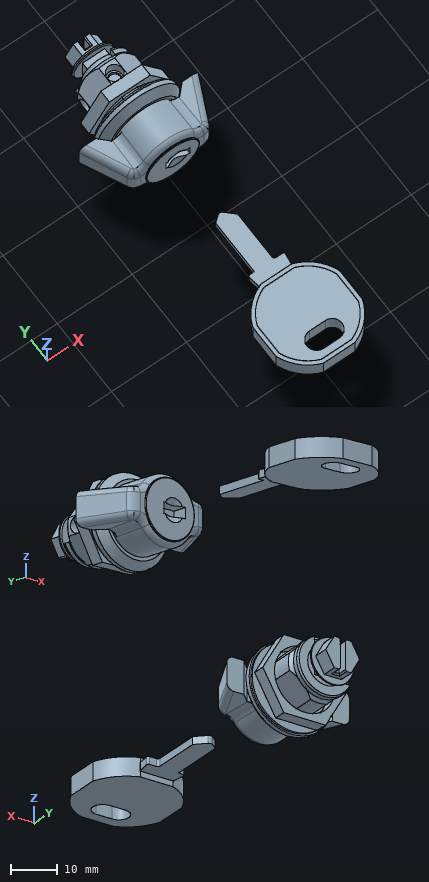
import cadquery as cq
import math


flange_radius = 11.0
flange_front_y = -1.8
rim_radius = 10.6
rim_thickness = 0.6
cone_front_radius = 9.1
cone_front_y = -3.7
shank_radius = 7.9
shank_across_flats = 13.7
shank_rear_y = 11.05
shank_chamfer = 1.0
detent_radius = 2.0
detent_y = 7.1
stop_radius = 7.2
stop_rear_y = 12.8
stop_bevel_length = 0.6
stop_bevel_depth = 0.3

nut_across_flats = 18.9
nut_front_y = 1.5
nut_thickness = 3.2

rotor_radius = 4.7
square_size = 5.9
square_rear_y = 14.9
socket_radius = 1.6
socket_depth = 0.9
barrel_radius = 8.3
plug_front_y = -14.5
body_front_y = -14.2
edge_rounding = 1.7
plug_radius = 7.15
plug_bevel = 0.2
wing_rear_thickness = 8.3
wing_front_thickness = 7.5
wing_rear_half_span = 16.02
wing_front_half_span = 10.2
wing_corner_radius = 2.8
wing_root_radius = 3.2
flange_gap = 0.6
keyway_center_x = 1.3
keyway_length = 6.3
keyway_height = 2.6
keyway_depth = 3.7
keyway_dish_x = 1.0
keyway_dish_radius = 2.8
keyway_dish_depth = 0.8

head_across_flats = 7.7
head_rear_y = 19.4
washer_radius = 5.6
washer_thickness = 0.65
washer_bevel = 0.3
slot_mouth_bevel = 0.4
slot_width = 1.3
slot_depth = 2.4
thread_radius = 2.4
thread_length = 5.6

key_center_x = 1.7
bow_size = 23.2
bow_radius = 12.35
bow_thickness = 4.7
bow_center_y = -61.8
bow_border = 1.0
bow_panel_depth = 0.1
bow_hole_length = 9.3
bow_hole_width = 5.1
bow_hole_drop = 6.1
blade_thickness = 1.95
blade_left_x = -1.5
blade_right_x = 3.7
blade_tip_x = 0.7
blade_tip_y = -30.4
blade_left_end_y = -32.1
blade_right_end_y = -33.2
blade_tip_radius = 0.9
blade_root_radius = 0.6
collar_top_y = -46.4
collar_top_half_width = 4.9
collar_base_half_width = 4.4
collar_corner_radius = 0.5


def section(y):
    """Workplane across the lock axis at the given Y: local x is X, local y is Z."""
    return cq.Workplane("XZ", origin=(0, y, 0))


def disc(radius, front_y, rear_y):
    return section(front_y).circle(radius).extrude(front_y - rear_y)


def hexagon(across_flats, front_y, rear_y):
    """Hexagonal prism with two corners on the X axis."""
    across_corners = across_flats / math.cos(math.pi / 6)
    return section(front_y).polygon(6, across_corners).extrude(front_y - rear_y)


def revolved(half_profile):
    """Solid turned about the lock axis from (radius, y) points."""
    return cq.Workplane("XY").polyline(half_profile).close().revolve(360, (0, 0, 0), (0, 1, 0))


def make_stop():
    """Ring at the housing's rear end, open over the quarter towards -X and +Z."""
    bevel_y = stop_rear_y - stop_bevel_length
    ring = revolved([
        (0, shank_rear_y),
        (stop_radius, shank_rear_y),
        (stop_radius, bevel_y),
        (stop_radius - stop_bevel_depth, stop_rear_y),
        (0, stop_rear_y),
    ])
    opening = section(shank_rear_y).center(
        square_size / 2 - stop_radius, stop_radius - square_size / 2
    ).rect(2 * stop_radius, 2 * stop_radius).extrude(shank_rear_y - stop_rear_y)
    return ring.cut(opening)


def make_shank():
    """Round shank with four diagonal flats and a chamfered rear end."""
    shank = disc(shank_radius, 0, shank_rear_y).faces(">Y").chamfer(shank_chamfer)
    flats = section(0).transformed(rotate=(0, 0, 45)).rect(
        shank_across_flats, shank_across_flats
    ).extrude(-shank_rear_y)
    return shank.intersect(flats)


def make_housing():
    flange = revolved([
        (0, 0),
        (rim_radius, 0),
        (rim_radius, -rim_thickness),
        (flange_radius, -rim_thickness),
        (flange_radius, flange_front_y),
        (cone_front_radius, cone_front_y),
        (0, cone_front_y),
    ])
    body = flange.union(make_shank()).union(make_stop())
    body = body.cut(disc(rotor_radius, cone_front_y, stop_rear_y))
    top_hole = cq.Workplane("XY").center(0, detent_y).circle(detent_radius).extrude(shank_radius)
    side_hole = cq.Workplane("YZ").center(detent_y, 0).circle(detent_radius).extrude(-shank_radius)
    return body.cut(top_hole).cut(side_hole)


def make_nut():
    nut_rear_y = nut_front_y + nut_thickness
    return hexagon(nut_across_flats, nut_front_y, nut_rear_y).cut(
        disc(shank_radius, nut_front_y, nut_rear_y)
    )


def tapered_bar(plane, rear_half_width, front_half_width, half_length):
    """Bar whose width narrows from the rear of the wings to their front."""
    return cq.Workplane(plane).polyline([
        (-rear_half_width, flange_front_y),
        (-front_half_width, body_front_y),
        (front_half_width, body_front_y),
        (rear_half_width, flange_front_y),
    ]).close().extrude(half_length, both=True)


def make_wings():
    """Both wings as one bar across the knob, tapering in span and thickness towards the front."""
    span_bar = tapered_bar("XY", wing_rear_half_span, wing_front_half_span, wing_rear_thickness)
    side_plane = cq.Plane(origin=(0, 0, 0), xDir=(0, 0, 1), normal=(-1, 0, 0))
    side_bar = tapered_bar(
        side_plane, wing_rear_thickness / 2, wing_front_thickness / 2, wing_rear_half_span
    )
    return span_bar.intersect(side_bar)


def make_grip():
    """Barrel and wings with filleted roots and rounded outer edges, cleared behind for the flange."""
    grip = disc(barrel_radius, body_front_y, flange_front_y).union(make_wings())
    wing_roots = cq.selectors.BoxSelector(
        (-barrel_radius, body_front_y + edge_rounding, -wing_rear_thickness),
        (barrel_radius, flange_front_y - edge_rounding, wing_rear_thickness),
    )
    grip = grip.edges(wing_roots).fillet(wing_root_radius)
    grip = grip.edges("|Z and <Y").fillet(wing_corner_radius)
    grip = grip.faces("<Y").edges().fillet(edge_rounding)
    cleared = cq.Workplane("XY").polyline([
        (-flange_radius - flange_gap, flange_front_y),
        (-cone_front_radius, cone_front_y - flange_gap),
        (cone_front_radius, cone_front_y - flange_gap),
        (flange_radius + flange_gap, flange_front_y),
    ]).close().extrude(flange_radius, both=True)
    cleared = cleared.cut(disc(barrel_radius, cone_front_y - flange_gap, cone_front_y))
    return grip.cut(cleared)


def make_keyway():
    """Slot for the key blade with a conical lead-in."""
    slot = section(plug_front_y).center(keyway_center_x, 0).rect(
        keyway_length, keyway_height
    ).extrude(-keyway_depth)
    dish = section(plug_front_y).center(keyway_dish_x, 0).circle(keyway_dish_radius)
    dish = dish.workplane(offset=-keyway_dish_depth).circle(keyway_height / 2).loft()
    return slot.union(dish)


def make_knob():
    plug = disc(plug_radius, plug_front_y, cone_front_y).faces("<Y").chamfer(plug_bevel)
    knob = make_grip().union(plug)
    knob = knob.union(disc(rotor_radius, cone_front_y, stop_rear_y))
    knob = knob.union(section(stop_rear_y).rect(square_size, square_size).extrude(stop_rear_y - square_rear_y))
    socket = cq.Workplane("XY", origin=(0, detent_y, rotor_radius)).circle(socket_radius).extrude(-socket_depth)
    threaded_hole = disc(thread_radius, square_rear_y - thread_length, square_rear_y)
    return knob.cut(socket).cut(threaded_hole).cut(make_keyway())


def make_screw():
    washer_rear_y = square_rear_y + washer_thickness
    washer = disc(washer_radius, square_rear_y, washer_rear_y).faces("<Y").chamfer(washer_bevel)
    head = hexagon(head_across_flats, washer_rear_y, head_rear_y)
    slot = cq.Workplane("XY").box(slot_width, 2 * slot_depth, 2 * head_across_flats)
    head = head.cut(slot.translate((0, head_rear_y, 0)))
    slot_mouths = cq.selectors.BoxSelector(
        (-slot_width, head_rear_y - 1.5 * slot_depth, -head_across_flats),
        (slot_width, head_rear_y - slot_depth / 4, head_across_flats),
    )
    head = head.edges(slot_mouths).edges("not |Z").chamfer(slot_mouth_bevel)
    thread = disc(thread_radius, square_rear_y - thread_length, square_rear_y)
    return head.union(washer).union(thread)


def bow_plate(inset, thickness):
    """Square plate cut down to rounded corners, centred on Z = 0."""
    size = bow_size - 2 * inset
    plate = cq.Workplane("XY").box(size, size, thickness)
    blank = cq.Workplane("XY").circle(bow_radius - inset).extrude(thickness / 2, both=True)
    return plate.intersect(blank).translate((key_center_x, bow_center_y, 0))


def make_blade():
    bow_top_y = bow_center_y + bow_size / 2
    blade = cq.Workplane("XY").workplane(offset=-blade_thickness / 2).polyline([
        (key_center_x - collar_base_half_width, bow_top_y),
        (key_center_x - collar_top_half_width, collar_top_y),
        (blade_left_x, collar_top_y),
        (blade_left_x, blade_left_end_y),
        (blade_tip_x, blade_tip_y),
        (blade_right_x, blade_right_end_y),
        (blade_right_x, collar_top_y),
        (key_center_x + collar_top_half_width, collar_top_y),
        (key_center_x + collar_base_half_width, bow_top_y),
    ]).close().extrude(blade_thickness)
    blade = blade.edges("|Z and >Y").fillet(blade_tip_radius)
    blade = blade.edges(cq.selectors.NearestToPointSelector((blade_right_x, collar_top_y, 0))).fillet(
        blade_root_radius
    )
    for side in (-1, 1):
        corner = (key_center_x + side * collar_top_half_width, collar_top_y, 0)
        blade = blade.edges(cq.selectors.NearestToPointSelector(corner)).fillet(collar_corner_radius)
    return blade


def make_key():
    key = bow_plate(0, bow_thickness).union(make_blade())
    panel = bow_plate(bow_border, bow_panel_depth).translate((0, 0, (bow_thickness - bow_panel_depth) / 2))
    hole = cq.Workplane("XY").center(key_center_x, bow_center_y - bow_hole_drop).slot2D(
        bow_hole_length, bow_hole_width
    ).extrude(bow_thickness, both=True)
    return key.cut(panel).cut(hole)


housing = make_housing()
nut = make_nut()
knob = make_knob()
screw = make_screw()
key = make_key()

result = cq.Compound.makeCompound([
    housing.val(),
    nut.val(),
    knob.val(),
    screw.val(),
    key.val(),
])